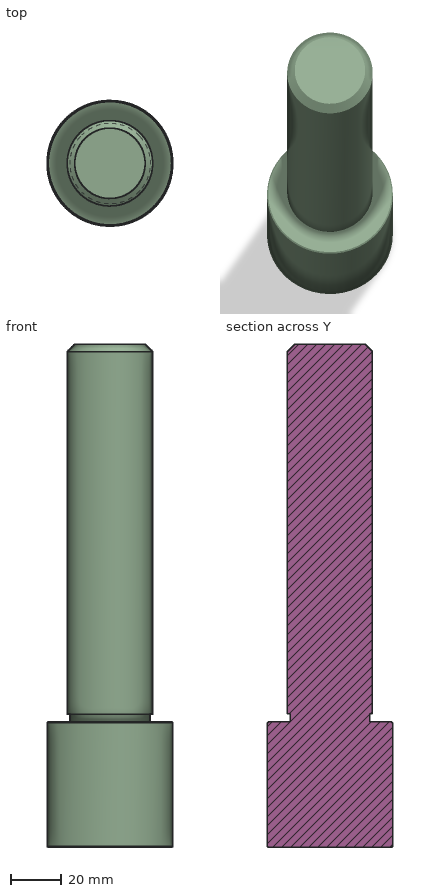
import cadquery as cq

total_length = 200.0
head_diameter = 50.0
head_length = 50.0
head_edge_chamfer = 0.5
shank_diameter = 34.0
shank_tip_chamfer = 3.0
relief_diameter = 32.0
relief_width = 3.0

shank_start = head_length + relief_width
shank_length = total_length - shank_start


def make_head():
    """Cylindrical head standing on Z = 0, both rims broken."""
    head = cq.Workplane("XY").circle(head_diameter / 2).extrude(head_length)
    return head.edges("%CIRCLE").chamfer(head_edge_chamfer)


def make_relief():
    """Narrow neck between the head and the shank."""
    neck = cq.Workplane("XY").workplane(offset=head_length)
    return neck.circle(relief_diameter / 2).extrude(relief_width)


def make_shank():
    """Long shank with a chamfered free end."""
    shank = cq.Workplane("XY").workplane(offset=shank_start)
    shank = shank.circle(shank_diameter / 2).extrude(shank_length)
    return shank.faces(">Z").edges().chamfer(shank_tip_chamfer)


result = make_head().union(make_relief()).union(make_shank())